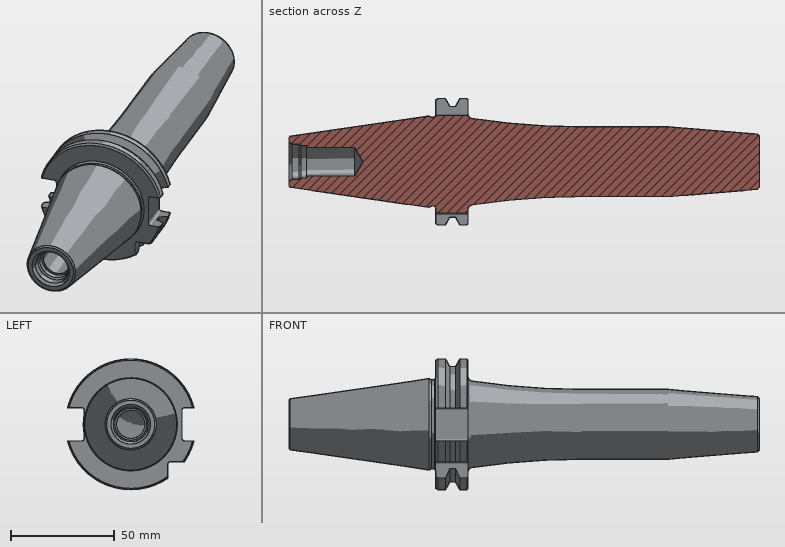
import cadquery as cq
import math

total_length = 228.2
taper_length = 68.0
small_end_x = -taper_length
nose_end_x = total_length - taper_length

gauge_diameter = 44.5
gauge_radius = gauge_diameter / 2
taper_slope = 7 / 48
small_end_radius = gauge_radius - taper_length * taper_slope
small_end_chamfer = 0.7

neck_radius = 21.7
neck_flare_radius = 22.5
neck_start_x = 1.1
neck_end_x = 2.5

flange_radius = 31.7
flange_start_x = 3.2
flange_width = 15.7
flange_end_x = flange_start_x + flange_width
flange_start_chamfer = 1.1
flange_end_chamfer = 0.7
flange_chamfer_depth = 0.7
groove_center_x = flange_start_x + 8.2
groove_bottom_width = 2.7
groove_bottom_radius = 28.0
groove_half_angle = math.radians(30)

body_fillet = 2.0
sweep_start_radius = 21.0
sweep_end_x = 74.0
body_diameter = 34.0
body_radius = body_diameter / 2
nose_start_x = 116.0
nose_end_radius = 13.5
nose_chamfer = 1.1

slot_width = 16.0
slot_floor_back = 22.5
slot_floor_front = 24.9
notch_side_y = -18.0
notch_top_z = -18.3
corner_fillet = 1.1
cutter_clearance = 2.3

mouth_radius = 9.5
counterbore_radius = 8.5
mouth_depth = 1.5
counterbore_depth = 5.0
step_radius = 7.8
step_start = 6.0
step_end = 8.7
drill_radius = 6.8
drill_depth = 32.0
drill_point_half_angle = math.radians(60)


def make_body():
    """Revolve the outer half profile, without the V groove."""
    sweep_start_x = flange_end_x + body_fillet
    sweep_length = sweep_end_x - sweep_start_x
    sweep_rise = sweep_start_radius - body_radius
    sweep_arc_radius = (sweep_length**2 + sweep_rise**2) / (2 * sweep_rise)
    sweep_mid_x = sweep_start_x + sweep_length / 2
    sweep_mid_drop = math.sqrt(sweep_arc_radius**2 - (sweep_end_x - sweep_mid_x) ** 2)
    sweep_mid = (sweep_mid_x, body_radius + sweep_arc_radius - sweep_mid_drop)
    fillet_inset = body_fillet * (1 - math.sqrt(0.5))
    fillet_mid = (flange_end_x + fillet_inset, sweep_start_radius + fillet_inset)
    flange_face_radius = flange_radius - flange_chamfer_depth
    profile = (
        cq.Workplane("XY")
        .moveTo(small_end_x, 0)
        .lineTo(small_end_x, small_end_radius - small_end_chamfer)
        .lineTo(small_end_x + small_end_chamfer, small_end_radius + small_end_chamfer * taper_slope)
        .lineTo(0, gauge_radius)
        .lineTo(neck_start_x, neck_radius)
        .lineTo(neck_end_x, neck_radius)
        .lineTo(flange_start_x, neck_flare_radius)
        .lineTo(flange_start_x, flange_face_radius)
        .lineTo(flange_start_x + flange_start_chamfer, flange_radius)
        .lineTo(flange_end_x - flange_end_chamfer, flange_radius)
        .lineTo(flange_end_x, flange_face_radius)
        .lineTo(flange_end_x, sweep_start_radius + body_fillet)
        .threePointArc(fillet_mid, (sweep_start_x, sweep_start_radius))
        .threePointArc(sweep_mid, (sweep_end_x, body_radius))
        .lineTo(nose_start_x, body_radius)
        .lineTo(nose_end_x - nose_chamfer, nose_end_radius)
        .lineTo(nose_end_x, nose_end_radius - nose_chamfer)
        .lineTo(nose_end_x, 0)
        .close()
    )
    return profile.revolve(360, (0, 0, 0), (1, 0, 0))


def make_groove():
    """Ring of V section with a flat bottom, reaching past the flange rim."""
    rim_radius = flange_radius + cutter_clearance
    bottom_half = groove_bottom_width / 2
    rim_half = bottom_half + (rim_radius - groove_bottom_radius) * math.tan(groove_half_angle)
    section = [
        (groove_center_x - bottom_half, groove_bottom_radius),
        (groove_center_x + bottom_half, groove_bottom_radius),
        (groove_center_x + rim_half, rim_radius),
        (groove_center_x - rim_half, rim_radius),
    ]
    return cq.Workplane("XY").polyline(section).close().revolve(360, (0, 0, 0), (1, 0, 0))


def flange_cutter(y_inner, y_outer, z_low, z_high, rounded_edges):
    """Block spanning the flange width, with the chosen X edges rounded."""
    block = cq.Workplane("XY").box(flange_width, abs(y_outer - y_inner), z_high - z_low)
    block = block.edges(rounded_edges).fillet(corner_fillet)
    center_x = (flange_start_x + flange_end_x) / 2
    return block.translate((center_x, (y_inner + y_outer) / 2, (z_low + z_high) / 2))


def make_hole():
    """Blind drilled hole with a flared mouth, counterbore, step and conical bottom."""
    point_length = drill_radius / math.tan(drill_point_half_angle)
    half_section = [
        (0, 0),
        (0, mouth_radius),
        (mouth_depth, counterbore_radius),
        (counterbore_depth, counterbore_radius),
        (step_start, step_radius),
        (step_end, step_radius),
        (step_end, drill_radius),
        (drill_depth, drill_radius),
        (drill_depth + point_length, 0),
    ]
    hole = cq.Workplane("XY").polyline(half_section).close().revolve(360, (0, 0, 0), (1, 0, 0))
    return hole.translate((small_end_x, 0, 0))


outside = flange_radius + cutter_clearance
half_slot = slot_width / 2
back_slot = flange_cutter(slot_floor_back, outside, -half_slot, half_slot, "|X and <Y")
front_slot = flange_cutter(-slot_floor_front, -outside, -half_slot, half_slot, "|X and >Y")
notch = flange_cutter(notch_side_y, -outside, -outside, notch_top_z, "|X and >Y and >Z")

result = make_body()
for cutter in (make_groove(), back_slot, front_slot, notch, make_hole()):
    result = result.cut(cutter)